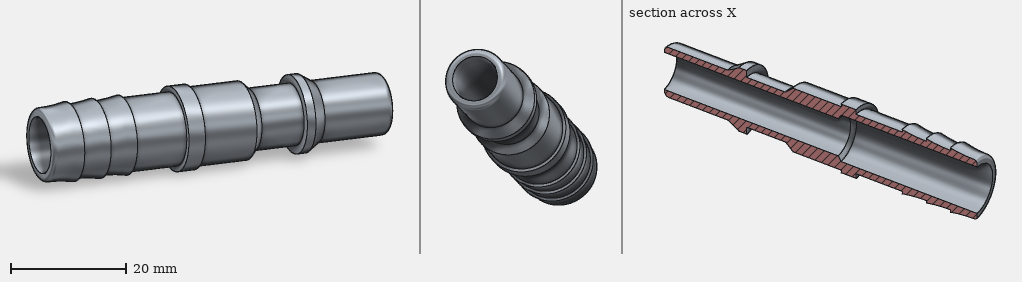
import cadquery as cq
import math

length = 64.5

plug_radius = 5.5
plug_round = 1.0
collar_radius = 6.95
collar_back = 47.5
collar_width = 1.6
collar_cone_length = 2.3

body_radius = collar_radius
body_cone_start = 39.55
body_cone_length = 1.55
flange_radius = 15.0 / 2
flange_start = 24.95
flange_width = 3.1

hose_radius = 6.5
hose_round = 0.7
barb_crest_radius = 7.0
barb_count = 3
barb_pitch = 4.95
first_crest = 5.55

hose_bore_radius = 10.0 / 2
plug_bore_radius = 4.0
bore_cone_start = flange_start + flange_width
bore_cone_half_angle = 60.0
bore_cone_length = (hose_bore_radius - plug_bore_radius) / math.tan(math.radians(bore_cone_half_angle))


def add_barbs(profile):
    """Add hollow flanks, each leaving the hose radius tangentially and ending at a sharp crest."""
    barb_height = barb_crest_radius - hose_radius
    root = hose_round
    for index in range(barb_count):
        crest = first_crest + index * barb_pitch
        flank_length = crest - root
        flank_radius = (flank_length**2 + barb_height**2) / (2 * barb_height)
        profile = profile.radiusArc((barb_crest_radius, crest), flank_radius)
        profile = profile.lineTo(hose_radius, crest)
        root = crest
    return profile


def make_outside():
    collar_front = collar_back + collar_width
    flange_end = flange_start + flange_width
    profile = (
        cq.Workplane("XY")
        .lineTo(hose_radius - hose_round, 0)
        .radiusArc((hose_radius, hose_round), -hose_round)
    )
    profile = (
        add_barbs(profile)
        .lineTo(hose_radius, flange_start)
        .lineTo(flange_radius, flange_start)
        .lineTo(flange_radius, flange_end)
        .lineTo(body_radius, flange_end)
        .lineTo(body_radius, body_cone_start - body_cone_length)
        .lineTo(plug_radius, body_cone_start)
        .lineTo(plug_radius, collar_back)
        .lineTo(collar_radius, collar_back)
        .lineTo(collar_radius, collar_front)
        .lineTo(plug_radius, collar_front + collar_cone_length)
        .lineTo(plug_radius, length - plug_round)
        .radiusArc((plug_radius - plug_round, length), -plug_round)
        .lineTo(0, length)
        .close()
    )
    return profile.revolve(360, (0, 0), (0, 1))


def make_bore():
    return (
        cq.Workplane("XY")
        .lineTo(hose_bore_radius, 0)
        .lineTo(hose_bore_radius, bore_cone_start)
        .lineTo(plug_bore_radius, bore_cone_start + bore_cone_length)
        .lineTo(plug_bore_radius, length)
        .lineTo(0, length)
        .close()
        .revolve(360, (0, 0), (0, 1))
    )


result = make_outside().cut(make_bore())